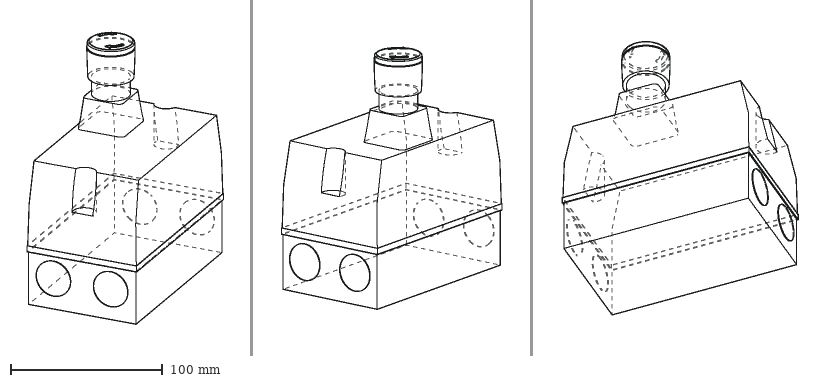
import cadquery as cq
import math

BASE_X = 78.5
BASE_Y = 133.3
LIP_X = 80.0
LIP_Y = 135.0
COVER_FOOT_X = 79.3
COVER_FOOT_Y = 134.3
COVER_TOP_X = 76.4
COVER_TOP_Y = 121.0
KNEE_Y = 133.0
LIP_BOTTOM_Z = 37.9
LIP_TOP_Z = 42.2
KNEE_Z = 71.8
COVER_TOP_Z = 100.8

NOTCH_DIAMETER = 16.2
NOTCH_CENTRE_Y = 63.5

KNOCKOUT_DIAMETER = 25.0
KNOCKOUT_SPACING = 41.7
KNOCKOUT_Z = 22.0
KNOCKOUT_HEIGHT = 0.6

BUTTON_X = -18.3
BUTTON_Y = 16.7
BOOT_FOOT = 34.0
BOOT_BREAK = 31.9
BOOT_TOP = 28.5
BOOT_CORNER_RADIUS = 3.2
BOOT_BREAK_Z = 108.0
BOOT_TOP_Z = 122.8
STEM_RADIUS = 25.7 / 2
CAP_BOTTOM_Z = 135.3
CAP_BOTTOM_RADIUS = 15.4
CAP_RADIUS = 32.0 / 2
CAP_MIDDLE_RADIUS = 15.9
GROOVE_Z = 156.0
GROOVE_WIDTH = 0.5
GROOVE_DEPTH = 0.5
RIM_TOP_Z = 160.7
RIM_RADIUS = 15.7
RIM_ROUNDING = 1.0
DISC_RADIUS = 29.0 / 2
DISC_RECESS = 0.3
OVERALL_HEIGHT = 161.8

ARROW_INNER_RADIUS = 9.7
ARROW_OUTER_RADIUS = 11.6
HEAD_INNER_RADIUS = 8.4
HEAD_OUTER_RADIUS = 13.0
ARROW_TIP_RADIUS = 11.0
ARROW_TAIL_ANGLE = 163
ARROW_HEAD_ANGLE = 114
ARROW_TIP_ANGLE = 95
ARROW_TOP_Z = 161.5


def make_cover():
    """Cover with bevelled ends, trimmed by the slight draft of its long sides."""
    end_profile = (
        cq.Workplane("YZ")
        .polyline([
            (-COVER_FOOT_Y / 2, LIP_TOP_Z),
            (COVER_FOOT_Y / 2, LIP_TOP_Z),
            (KNEE_Y / 2, KNEE_Z),
            (COVER_TOP_Y / 2, COVER_TOP_Z),
            (-COVER_TOP_Y / 2, COVER_TOP_Z),
            (-KNEE_Y / 2, KNEE_Z),
        ])
        .close()
        .extrude(COVER_FOOT_X / 2, both=True)
    )
    side_profile = (
        cq.Workplane("XZ")
        .polyline([
            (-COVER_FOOT_X / 2, LIP_TOP_Z),
            (COVER_FOOT_X / 2, LIP_TOP_Z),
            (COVER_TOP_X / 2, COVER_TOP_Z),
            (-COVER_TOP_X / 2, COVER_TOP_Z),
        ])
        .close()
        .extrude(COVER_FOOT_Y / 2, both=True)
    )
    return end_profile.intersect(side_profile)


def make_notches():
    """Vertical round-backed cutters, open toward each end of the cover."""
    height = COVER_TOP_Z - KNEE_Z
    return (
        cq.Workplane("XY", origin=(0, 0, KNEE_Z))
        .pushPoints([(0, -NOTCH_CENTRE_Y), (0, NOTCH_CENTRE_Y)])
        .circle(NOTCH_DIAMETER / 2)
        .extrude(height)
    )


def make_knockouts():
    """Discs passing along the base, proud of both of its ends."""
    return (
        cq.Workplane("XZ")
        .pushPoints([(-KNOCKOUT_SPACING / 2, KNOCKOUT_Z), (KNOCKOUT_SPACING / 2, KNOCKOUT_Z)])
        .circle(KNOCKOUT_DIAMETER / 2)
        .extrude(BASE_Y / 2 + KNOCKOUT_HEIGHT, both=True)
    )


def make_enclosure():
    base = cq.Workplane("XY").rect(BASE_X, BASE_Y).extrude(LIP_BOTTOM_Z)
    lip = (
        cq.Workplane("XY", origin=(0, 0, LIP_BOTTOM_Z))
        .rect(LIP_X, LIP_Y)
        .extrude(LIP_TOP_Z - LIP_BOTTOM_Z)
    )
    cover = make_cover().cut(make_notches())
    return base.union(make_knockouts()).union(lip).union(cover)


def boot_tier(lower_size, upper_size, lower_z, upper_z):
    """Tapered square tier with rounded corners, centred on the button axis."""
    lower = cq.Sketch().rect(lower_size, lower_size).vertices().fillet(BOOT_CORNER_RADIUS)
    upper = cq.Sketch().rect(upper_size, upper_size).vertices().fillet(BOOT_CORNER_RADIUS)
    return (
        cq.Workplane("XY", origin=(0, 0, lower_z))
        .placeSketch(lower, upper.moved(cq.Location(cq.Vector(0, 0, upper_z - lower_z))))
        .loft()
    )


def make_stem_and_cap():
    """Revolved stem and barrel-shaped cap with a groove, rim and shallow dome."""
    groove_top_z = GROOVE_Z + GROOVE_WIDTH
    groove_radius = CAP_RADIUS - GROOVE_DEPTH
    disc_z = RIM_TOP_Z - DISC_RECESS
    dome_rise = OVERALL_HEIGHT - disc_z
    dome_sphere_radius = (DISC_RADIUS**2 + dome_rise**2) / (2 * dome_rise)
    dome_middle_drop = dome_sphere_radius - math.sqrt(dome_sphere_radius**2 - (DISC_RADIUS / 2) ** 2)
    dome_middle_z = OVERALL_HEIGHT - dome_middle_drop
    return (
        cq.Workplane("XZ")
        .moveTo(0, BOOT_TOP_Z)
        .lineTo(STEM_RADIUS, BOOT_TOP_Z)
        .lineTo(STEM_RADIUS, CAP_BOTTOM_Z)
        .lineTo(CAP_BOTTOM_RADIUS, CAP_BOTTOM_Z)
        .threePointArc((CAP_MIDDLE_RADIUS, (CAP_BOTTOM_Z + GROOVE_Z) / 2), (CAP_RADIUS, GROOVE_Z))
        .lineTo(groove_radius, GROOVE_Z)
        .lineTo(groove_radius, groove_top_z)
        .lineTo(CAP_RADIUS, groove_top_z)
        .lineTo(RIM_RADIUS, RIM_TOP_Z - RIM_ROUNDING)
        .lineTo(DISC_RADIUS, RIM_TOP_Z)
        .lineTo(DISC_RADIUS, disc_z)
        .threePointArc((DISC_RADIUS / 2, dome_middle_z), (0, OVERALL_HEIGHT))
        .close()
        .revolve(360, (0, 0, 0), (0, 1, 0))
    )


def polar(radius, angle):
    return (radius * math.cos(math.radians(angle)), radius * math.sin(math.radians(angle)))


def make_arrow(turn):
    """Curved arrow, rotated about the button axis by the given angle."""
    tail = ARROW_TAIL_ANGLE + turn
    head = ARROW_HEAD_ANGLE + turn
    middle = (tail + head) / 2
    root_z = RIM_TOP_Z - RIM_ROUNDING
    return (
        cq.Workplane("XY", origin=(0, 0, root_z))
        .moveTo(*polar(ARROW_INNER_RADIUS, tail))
        .lineTo(*polar(ARROW_OUTER_RADIUS, tail))
        .threePointArc(polar(ARROW_OUTER_RADIUS, middle), polar(ARROW_OUTER_RADIUS, head))
        .lineTo(*polar(HEAD_OUTER_RADIUS, head))
        .lineTo(*polar(ARROW_TIP_RADIUS, ARROW_TIP_ANGLE + turn))
        .lineTo(*polar(HEAD_INNER_RADIUS, head))
        .lineTo(*polar(ARROW_INNER_RADIUS, head))
        .threePointArc(polar(ARROW_INNER_RADIUS, middle), polar(ARROW_INNER_RADIUS, tail))
        .close()
        .extrude(ARROW_TOP_Z - root_z)
    )


def make_button():
    button = boot_tier(BOOT_FOOT, BOOT_BREAK, COVER_TOP_Z, BOOT_BREAK_Z)
    button = button.union(boot_tier(BOOT_BREAK, BOOT_TOP, BOOT_BREAK_Z, BOOT_TOP_Z))
    button = button.union(make_stem_and_cap())
    for turn in (0, 180):
        button = button.union(make_arrow(turn))
    return button.translate((BUTTON_X, BUTTON_Y, 0))


enclosure = make_enclosure()
button = make_button()
result = cq.Compound.makeCompound([enclosure.val(), button.val()])